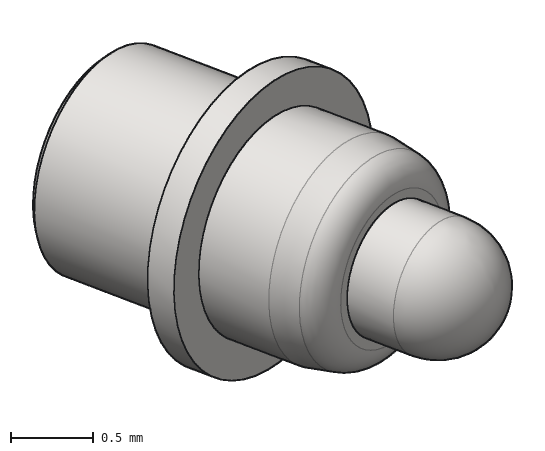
import cadquery as cq
import math

chamfer = 0.05
flange_start = 1.1
flange_width = 0.2
taper_start = 1.83
nose_face = 2.2
tip_end = 3.0

body_radius = 0.75
flange_radius = 1.0
pin_radius = 0.45

taper_angle = math.radians(10)
shoulder_radius = 0.2

flange_end = flange_start + flange_width
dome_start = tip_end - pin_radius


def cone_radius(x):
    """Radius of the shallow front cone at axial position x."""
    return body_radius - (x - taper_start) * math.tan(taper_angle)


arc_center_x = nose_face - shoulder_radius
arc_center_r = cone_radius(arc_center_x) - shoulder_radius / math.cos(taper_angle)


def shoulder_point(angle):
    """Point on the shoulder arc; the angle is measured from radial toward +X."""
    return (
        arc_center_x + shoulder_radius * math.sin(angle),
        arc_center_r + shoulder_radius * math.cos(angle),
    )


shoulder_start = shoulder_point(taper_angle)
shoulder_end = shoulder_point(math.pi / 2)
shoulder_middle = shoulder_point((taper_angle + math.pi / 2) / 2)
dome_middle = (
    dome_start + pin_radius * math.sin(math.pi / 4),
    pin_radius * math.cos(math.pi / 4),
)

half_profile = (
    cq.Workplane("XZ")
    .moveTo(0, 0)
    .lineTo(0, body_radius - chamfer)
    .lineTo(chamfer, body_radius)
    .lineTo(flange_start, body_radius)
    .lineTo(flange_start, flange_radius)
    .lineTo(flange_end, flange_radius)
    .lineTo(flange_end, body_radius)
    .lineTo(taper_start, body_radius)
    .lineTo(*shoulder_start)
    .threePointArc(shoulder_middle, shoulder_end)
    .lineTo(nose_face, pin_radius)
    .lineTo(dome_start, pin_radius)
    .threePointArc(dome_middle, (tip_end, 0))
    .close()
)

result = half_profile.revolve(360, (0, 0, 0), (1, 0, 0))